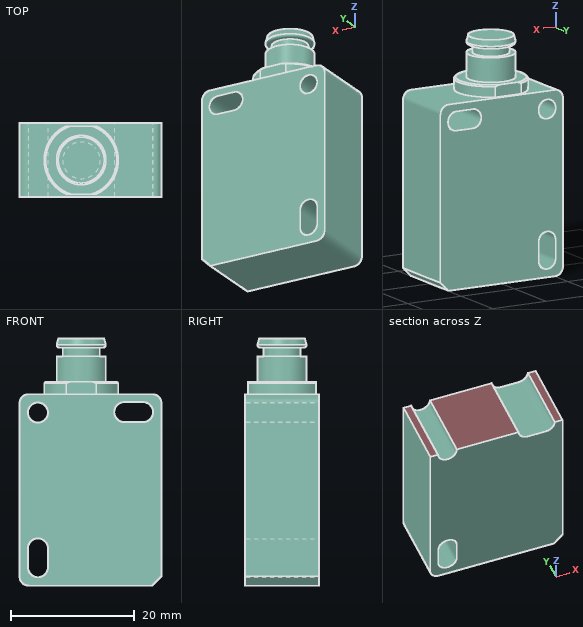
import cadquery as cq

body_width = 23.0
body_depth = 12.0
body_height = 31.0
corner_radius = 1.5
corner_chamfer = 1.5

hole_diameter = 3.2
slot_length = 6.25
hole_inset = 3.0
wide_slot_drop = 2.9
slot_inset = 4.5

plunger_x = 10.0
collar_diameter = 12.0
collar_flats = 11.0
collar_height = 2.0
collar_chamfer = 0.25
guide_diameter = 8.0
guide_height = 4.1
neck_diameter = 6.0
neck_height = 1.4
head_diameter = 8.0
head_top_diameter = 7.45
head_round = 0.5
total_height = 40.0

mid_y = body_depth / 2
collar_top = body_height + collar_height
guide_top = collar_top + guide_height
head_bottom = guide_top + neck_height
head_rim = head_bottom + head_round


def make_housing():
    block = cq.Workplane("XY").box(body_width, body_depth, body_height, centered=False)
    block = block.edges("|Y").edges("<X or >Z").fillet(corner_radius)
    return block.edges("|Y and >X and <Z").chamfer(corner_chamfer)


def mounting_cutters():
    top_row = body_height - hole_inset
    wide_slot_x = body_width - slot_inset
    wide_slot_z = body_height - wide_slot_drop
    round_hole = cq.Workplane("XZ").center(hole_inset, top_row).circle(hole_diameter / 2)
    wide_slot = cq.Workplane("XZ").center(wide_slot_x, wide_slot_z).slot2D(slot_length, hole_diameter)
    tall_slot = cq.Workplane("XZ").center(hole_inset, slot_inset).slot2D(slot_length, hole_diameter, 90)
    return [outline.extrude(-body_depth) for outline in (round_hole, wide_slot, tall_slot)]


def make_collar():
    base = cq.Workplane("XY", origin=(plunger_x, mid_y, body_height))
    disc = base.circle(collar_diameter / 2).extrude(collar_height)
    disc = disc.faces(">Z").chamfer(collar_chamfer)
    flats = base.rect(collar_diameter, collar_flats).extrude(collar_height)
    return disc.intersect(flats)


def make_plunger():
    profile = (
        cq.Workplane("XZ", origin=(plunger_x, mid_y, 0))
        .moveTo(0, collar_top)
        .lineTo(guide_diameter / 2, collar_top)
        .lineTo(guide_diameter / 2, guide_top)
        .lineTo(neck_diameter / 2, guide_top)
        .lineTo(neck_diameter / 2, head_bottom)
        .lineTo(head_diameter / 2 - head_round, head_bottom)
        .radiusArc((head_diameter / 2, head_rim), -head_round)
        .lineTo(head_top_diameter / 2, total_height)
        .lineTo(0, total_height)
        .close()
    )
    return profile.revolve(360, (0, 0, 0), (0, 1, 0))


housing = make_housing()
for cutter in mounting_cutters():
    housing = housing.cut(cutter)

result = housing.union(make_collar()).union(make_plunger())